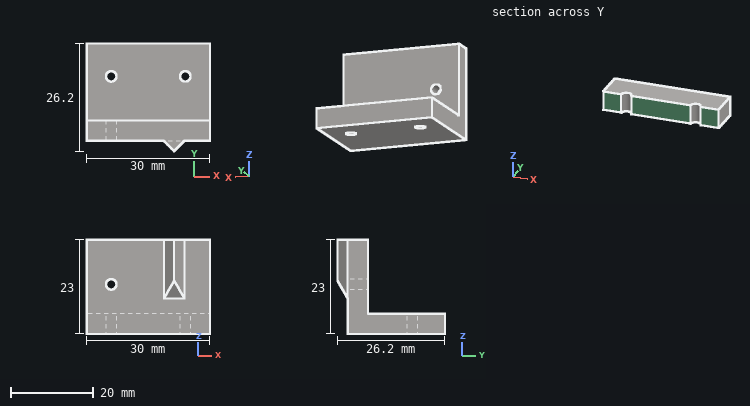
import cadquery as cq
import math

width = 30.0
height = 23.0
depth = 23.7
thickness = 5.0

hole_diameter = 2.5
hole_edge_offset = 6.0
base_hole_back_offset = 8.0
wall_hole_height = 12.1

ridge_center_x = 21.3
ridge_projection = 2.5
ridge_half_width = ridge_projection
ridge_crest_length = 10.0
ridge_tip_angle = 60.0


def make_bracket():
    """L-shaped body: a flat base with an upright wall along its front edge."""
    base = cq.Workplane("XY").box(width, depth, thickness, centered=False)
    wall = cq.Workplane("XY").box(width, thickness, height, centered=False)
    return base.union(wall)


def make_ridge():
    """Triangular ridge from the top edge down, its lower end sloped back to the wall."""
    slope_height = ridge_projection * math.tan(math.radians(ridge_tip_angle))
    crest_end_z = height - ridge_crest_length
    bottom_z = crest_end_z - slope_height

    prism = (
        cq.Workplane("XY")
        .workplane(offset=bottom_z)
        .moveTo(ridge_center_x - ridge_half_width, 0)
        .lineTo(ridge_center_x, -ridge_projection)
        .lineTo(ridge_center_x + ridge_half_width, 0)
        .close()
        .extrude(height - bottom_z)
    )
    slope_cut = (
        cq.Workplane("YZ")
        .workplane(offset=ridge_center_x)
        .polyline([(0, bottom_z), (-ridge_projection, bottom_z), (-ridge_projection, crest_end_z)])
        .close()
        .extrude(ridge_half_width, both=True)
    )
    return prism.cut(slope_cut)


def make_base_holes():
    """Pair of vertical through holes in the base."""
    hole_y = depth - base_hole_back_offset
    return (
        cq.Workplane("XY")
        .pushPoints([(hole_edge_offset, hole_y), (width - hole_edge_offset, hole_y)])
        .circle(hole_diameter / 2)
        .extrude(thickness)
    )


def make_wall_hole():
    """Horizontal through hole in the wall."""
    return (
        cq.Workplane("XZ")
        .center(hole_edge_offset, wall_hole_height)
        .circle(hole_diameter / 2)
        .extrude(-thickness)
    )


result = make_bracket().union(make_ridge()).cut(make_base_holes()).cut(make_wall_hole())